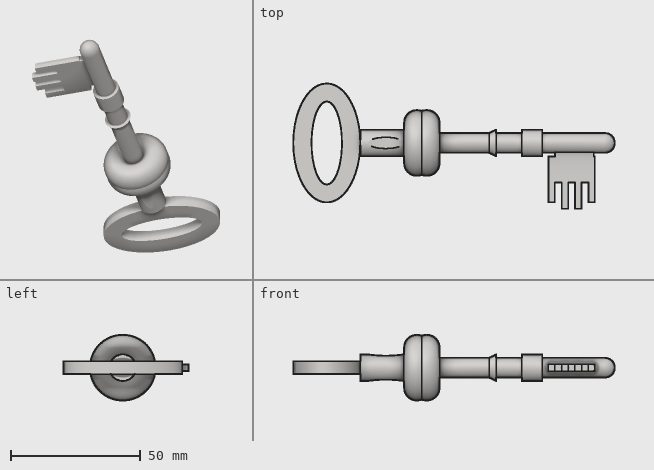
import cadquery as cq
import math

OVERALL_LENGTH = 123.8

BOW_LENGTH = 25.9
BOW_WIDTH = 45.8
BOW_THICKNESS = 5.0
BOW_HOLE_LENGTH = 11.6
BOW_HOLE_WIDTH = 31.8

GRIP_DIAMETER = 10.3
GRIP_RADIUS = GRIP_DIAMETER / 2
STEM_DIAMETER = 7.7
STEM_RADIUS = STEM_DIAMETER / 2
GRIP_START = BOW_LENGTH
TIP_START = OVERALL_LENGTH - STEM_RADIUS

KNOB_DIAMETER = 25.4
KNOB_RADIUS = KNOB_DIAMETER / 2
BEAD_DIAMETER = 10.0
BEAD_RADIUS = BEAD_DIAMETER / 2
BEAD_SPACING = 3.7
KNOB_CENTER = 49.5

FLARE_START = 75.4
FLARE_END = 78.1
COLLAR_START = 88.0
COLLAR_LENGTH = 7.9

SCOOP_CENTER = 35.7
SCOOP_LENGTH = 13.5
SCOOP_WIDTH = 4.3

BIT_START = 98.2
BIT_THICKNESS = 2.6
BIT_LENGTH = 18.0
TOOTH_COUNT = 4
TOOTH_WIDTH = BIT_LENGTH / (2 * TOOTH_COUNT - 1)
SLOT_FLOOR_Y = -15.2
OUTER_TOOTH_Y = -22.9
INNER_TOOTH_Y = -25.4
BIT_SHOULDER_Y = -5.2
NECK_SETBACK = 0.4


def make_bow():
    """Oval ring centred on the key's mid-plane."""
    return (
        cq.Workplane("XY", origin=(BOW_LENGTH / 2, 0, -BOW_THICKNESS / 2))
        .ellipse(BOW_LENGTH / 2, BOW_WIDTH / 2)
        .ellipse(BOW_HOLE_LENGTH / 2, BOW_HOLE_WIDTH / 2)
        .extrude(BOW_THICKNESS)
    )


def make_rod(start, end, radius):
    """Round bar on the key's axis."""
    return cq.Workplane("YZ", origin=(start, 0, 0)).circle(radius).extrude(end - start)


def make_stem():
    """Grip, stem with its hemispherical tip, and collar."""
    grip = make_rod(GRIP_START, KNOB_CENTER, GRIP_RADIUS)
    tip_arc = STEM_RADIUS * math.sqrt(0.5)
    stem = (
        cq.Workplane("XY")
        .moveTo(KNOB_CENTER, 0)
        .lineTo(KNOB_CENTER, STEM_RADIUS)
        .lineTo(TIP_START, STEM_RADIUS)
        .threePointArc((TIP_START + tip_arc, tip_arc), (OVERALL_LENGTH, 0))
        .close()
        .revolve(360, (0, 0, 0), (1, 0, 0))
    )
    collar = make_rod(COLLAR_START, COLLAR_START + COLLAR_LENGTH, GRIP_RADIUS)
    return grip.union(stem).union(collar)


def make_flare():
    """Cone widening from the stem to the grip radius."""
    return (
        cq.Workplane("XY")
        .moveTo(FLARE_START, 0)
        .lineTo(FLARE_START, STEM_RADIUS)
        .lineTo(FLARE_END, GRIP_RADIUS)
        .lineTo(FLARE_END, 0)
        .close()
        .revolve(360, (0, 0, 0), (1, 0, 0))
    )


def make_bead(center_x):
    """One round bead of the knob."""
    ring_radius = KNOB_RADIUS - BEAD_RADIUS
    return cq.Workplane(
        cq.Solid.makeTorus(ring_radius, BEAD_RADIUS, cq.Vector(center_x, 0, 0), cq.Vector(1, 0, 0))
    )


def make_scoop(side):
    """Cutter along Y for a shallow scoop; side is +1 for the top, -1 for the bottom."""
    floor_height = math.sqrt(GRIP_RADIUS**2 - (SCOOP_WIDTH / 2) ** 2)
    depth = GRIP_RADIUS - floor_height
    radius = ((SCOOP_LENGTH / 2) ** 2 + depth**2) / (2 * depth)
    return (
        cq.Workplane("XZ")
        .center(SCOOP_CENTER, side * (floor_height + radius))
        .circle(radius)
        .extrude(GRIP_RADIUS, both=True)
    )


def make_bit():
    """Plate with a step at each end of its neck and alternating teeth and slots, reaching into the stem."""
    bit_end = BIT_START + BIT_LENGTH
    outline = (
        cq.Workplane("XY", origin=(0, 0, -BIT_THICKNESS / 2))
        .moveTo(bit_end, SLOT_FLOOR_Y)
        .lineTo(bit_end, BIT_SHOULDER_Y)
        .lineTo(bit_end - NECK_SETBACK, BIT_SHOULDER_Y)
        .lineTo(bit_end - NECK_SETBACK, 0)
        .lineTo(BIT_START + TOOTH_WIDTH, 0)
        .lineTo(BIT_START + TOOTH_WIDTH, BIT_SHOULDER_Y)
        .lineTo(BIT_START, BIT_SHOULDER_Y)
        .lineTo(BIT_START, SLOT_FLOOR_Y)
    )
    for index in range(TOOTH_COUNT):
        is_outer = index in (0, TOOTH_COUNT - 1)
        end_y = OUTER_TOOTH_Y if is_outer else INNER_TOOTH_Y
        left = BIT_START + 2 * index * TOOTH_WIDTH
        right = left + TOOTH_WIDTH
        if index > 0:
            outline = outline.lineTo(left, SLOT_FLOOR_Y)
        outline = outline.lineTo(left, end_y).lineTo(right, end_y)
        if index < TOOTH_COUNT - 1:
            outline = outline.lineTo(right, SLOT_FLOOR_Y)
    return outline.close().extrude(BIT_THICKNESS)


def make_shank():
    """Everything but the bow, as one solid."""
    shank = make_stem()
    for side in (1, -1):
        shank = shank.cut(make_scoop(side))
    for side in (-1, 1):
        shank = shank.union(make_bead(KNOB_CENTER + side * BEAD_SPACING / 2))
    return shank.union(make_flare()).union(make_bit())


bow = make_bow()
shank = make_shank()

result = cq.Compound.makeCompound([bow.val(), *shank.vals()])